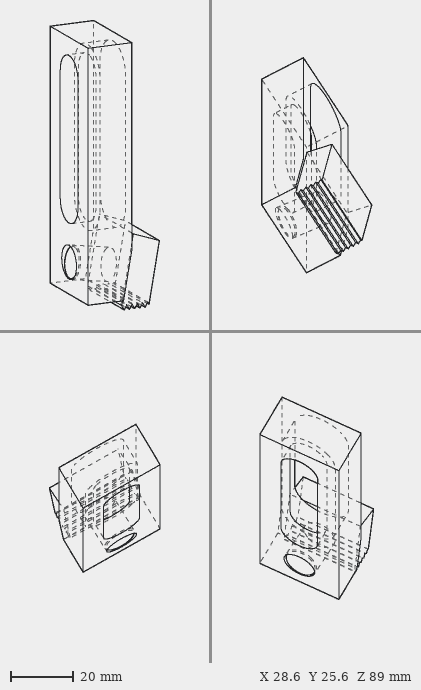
import cadquery as cq
import math

block_width = 28.6
block_depth = 15.5
block_height = 85.6

slot_width = 13.25
slot_bottom_center = 30.3
slot_top_center = 72.9
slot_step_depth = 6.4
rear_slot_width = 19.3

tilt = 10.0
seat_foot_y = 12.5
seat_lean = math.tan(math.radians(tilt))

jaw_width = 25.4
jaw_offset_x = 0.8
jaw_thickness = 9.7
jaw_top_z = 21.6
jaw_top_slope = 20.0
tooth_pitch = 1.85
tooth_angle = 60.0
tooth_count = 5
tooth_tip_z = -3.4

pin_diameter = 11.0
pin_chamfer = 0.4
hole_center_z = 10.7


def seat_y(z):
    """Y of the inclined seat plane at height z."""
    return seat_foot_y + z * seat_lean


def slot_cutter(width, start_y, end_y):
    """Upright slot with round ends, running from start_y to end_y."""
    center_distance = slot_top_center - slot_bottom_center
    return (
        cq.Workplane("XZ", origin=(0, start_y, (slot_top_center + slot_bottom_center) / 2))
        .slot2D(center_distance + width, width, 90)
        .extrude(start_y - end_y)
    )


def tilted_cylinder(diameter, start, length):
    """Cylinder square to the seat, centred on the pin axis, starting at distance start along it."""
    axis = cq.Vector(0, math.cos(math.radians(tilt)), -math.sin(math.radians(tilt)))
    base = cq.Vector(0, 0, hole_center_z) + axis * start
    return cq.Workplane(cq.Solid.makeCylinder(diameter / 2, length, base, axis))


def make_block():
    """Block with an inclined seat, a stepped slot and the pin hole."""
    seat_top_z = (block_depth - seat_foot_y) / seat_lean
    block = (
        cq.Workplane("YZ", origin=(-block_width / 2, 0, 0))
        .polyline([
            (0, 0),
            (seat_foot_y, 0),
            (block_depth, seat_top_z),
            (block_depth, block_height),
            (0, block_height),
        ])
        .close()
        .extrude(block_width)
    )
    block = block.cut(slot_cutter(slot_width, 0, slot_step_depth))
    block = block.cut(slot_cutter(rear_slot_width, slot_step_depth, block_depth))
    hole = tilted_cylinder(pin_diameter, -block_depth, 3 * block_depth)
    return block.cut(hole)


def make_jaw():
    """Leaning jaw with a sloped top and a row of teeth along its level underside."""
    tooth_height = tooth_pitch / 2 / math.tan(math.radians(tooth_angle / 2))
    root_z = tooth_tip_z + tooth_height
    depth_along_y = jaw_thickness / math.cos(math.radians(tilt))
    front_root_y = seat_y(root_z)

    last_root_y = front_root_y + tooth_count * tooth_pitch
    flank_slope = 2 * tooth_height / tooth_pitch
    back_root_y = front_root_y + depth_along_y
    flank_drop = flank_slope * (back_root_y - last_root_y) / (1 + flank_slope * seat_lean)
    back_bottom = (back_root_y - flank_drop * seat_lean, root_z - flank_drop)

    top_slope = math.tan(math.radians(jaw_top_slope))
    top_drop = top_slope * depth_along_y / (1 + top_slope * seat_lean)
    back_top_z = jaw_top_z - top_drop
    back_top = (seat_y(back_top_z) + depth_along_y, back_top_z)

    outline = [(seat_y(jaw_top_z), jaw_top_z), (front_root_y, root_z)]
    for tooth in range(tooth_count):
        outline.append((front_root_y + (tooth + 0.5) * tooth_pitch, tooth_tip_z))
        outline.append((front_root_y + (tooth + 1) * tooth_pitch, root_z))
    outline += [back_bottom, back_top]
    return (
        cq.Workplane("YZ", origin=(jaw_offset_x - jaw_width / 2, 0, 0))
        .polyline(outline)
        .close()
        .extrude(jaw_width)
    )


def make_pin():
    """Pin from the jaw face to the front of the block, with its exposed front end chamfered."""
    start = pin_diameter / 2 * seat_lean
    end = seat_y(hole_center_z) * math.cos(math.radians(tilt))
    return tilted_cylinder(pin_diameter, start, end - start).faces("<Y").chamfer(pin_chamfer)


block = make_block()
jaw = make_jaw()
pin = make_pin()

result = cq.Compound.makeCompound([block.val(), jaw.val(), pin.val()])